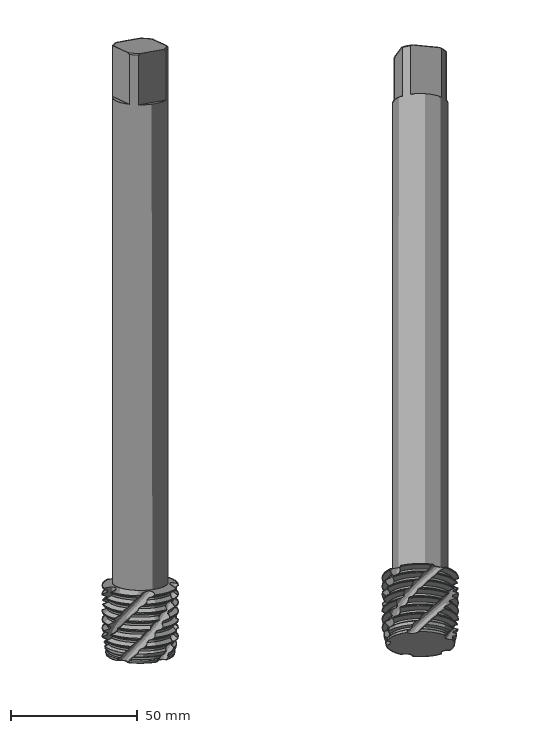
import cadquery as cq
import math

total_length = 250.0
head_length = 29.2

shank_radius = 11.0
square_width = 18.0
square_length = 21.0
end_chamfer = 0.5

thread_radius = 15.0
thread_pitch = 3.5
flank_angle = 30.0
crest_width = thread_pitch / 8
root_width = thread_pitch / 4
flank_height = (thread_pitch - crest_width - root_width) / 2
root_radius = thread_radius - flank_height / math.tan(math.radians(flank_angle))
first_crest_height = 28.2

lead_tip_radius = 13.5
lead_length = 7.0

flute_count = 5
flute_lead = 87.5
flute_radius = 2.8
flute_bottom_radius = 11.8
flute_top_angle = 272.0
flute_overrun = 2.5


def make_shank():
    """Plain round shank with a driving square at its upper end."""
    rod = (
        cq.Workplane("XY", origin=(0, 0, head_length))
        .circle(shank_radius)
        .extrude(total_length - head_length)
        .faces(">Z")
        .chamfer(end_chamfer)
    )
    square_cutter = (
        cq.Workplane("XY", origin=(0, 0, total_length - square_length))
        .circle(2 * shank_radius)
        .rect(square_width, square_width)
        .extrude(square_length)
    )
    return rod.cut(square_cutter)


def make_thread_blank():
    """Ring-shaped thread teeth between an upper cone and a conical lead-in."""
    ring_count = math.ceil(first_crest_height / thread_pitch)
    outline = cq.Workplane("YZ").moveTo(0, head_length).lineTo(shank_radius, head_length)
    for ring in range(ring_count):
        crest_top = first_crest_height - ring * thread_pitch
        crest_bottom = crest_top - crest_width
        root_top = crest_bottom - flank_height
        outline = (
            outline.lineTo(thread_radius, crest_top)
            .lineTo(thread_radius, crest_bottom)
            .lineTo(root_radius, root_top)
            .lineTo(root_radius, root_top - root_width)
        )
    outline = outline.lineTo(0, first_crest_height - ring_count * thread_pitch).close()
    rings = outline.revolve(360, (0, 0, 0), (0, 1, 0))
    envelope = (
        cq.Workplane("YZ")
        .lineTo(lead_tip_radius, 0)
        .lineTo(thread_radius, lead_length)
        .lineTo(thread_radius, head_length)
        .lineTo(0, head_length)
        .close()
        .revolve(360, (0, 0, 0), (0, 1, 0))
    )
    return rings.intersect(envelope)


def make_flute_cutter(angle_at_top):
    """Right-hand helical cutter of round section."""
    cutter_length = head_length + 2 * flute_overrun
    twist = 360 * cutter_length / flute_lead
    start_angle = angle_at_top - 360 * (head_length + flute_overrun) / flute_lead
    return (
        cq.Workplane("XY", origin=(0, 0, -flute_overrun))
        .pushPoints([(flute_bottom_radius + flute_radius, 0)])
        .circle(flute_radius)
        .twistExtrude(cutter_length, twist)
        .rotate((0, 0, 0), (0, 0, 1), start_angle)
    )


def make_head():
    """Threaded cutting head with helical flutes."""
    head = make_thread_blank()
    for flute in range(flute_count):
        head = head.cut(make_flute_cutter(flute_top_angle + flute * 360 / flute_count))
    return head


shank = make_shank()
head = make_head()
result = cq.Compound.makeCompound([shank.val(), head.val()])